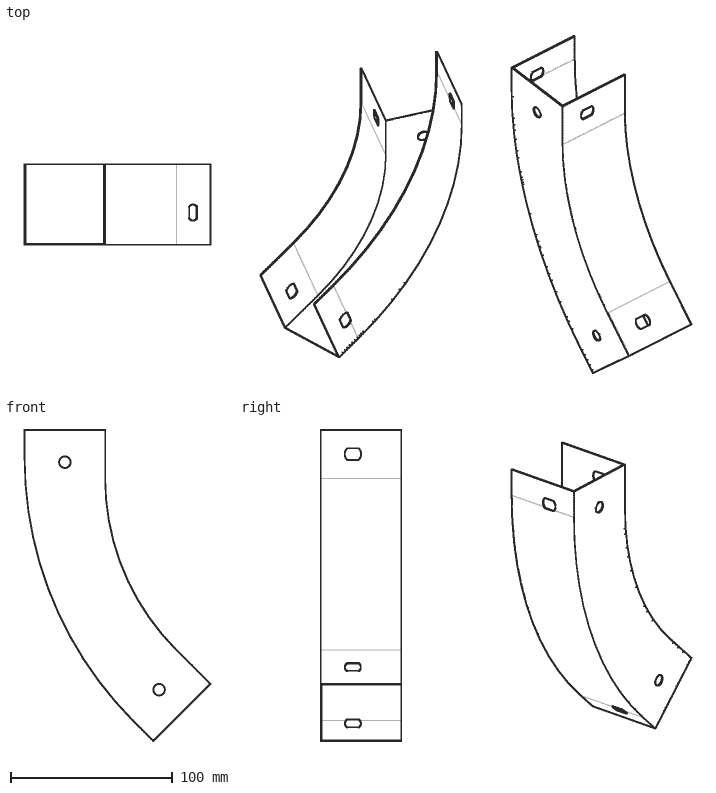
import cadquery as cq
import math

BEND_ANGLE = 45.0
CHANNEL_WIDTH = 50.0
CHANNEL_DEPTH = 50.0
SHEET = 0.8

INNER_RADIUS = 150.0
INNER_STRAIGHT = 30.0
OUTER_RADIUS = 230.0

WEB_HOLE_DIAMETER = 7.0
WEB_HOLE_FROM_END = 20.0

SLOT_WIDTH = 7.0
SLOT_LENGTH = 10.0
SLOT_FROM_END = 15.0
SLOT_CENTER_Y = -SLOT_LENGTH / 2

HALF_BEND_TANGENT = math.tan(math.radians(BEND_ANGLE / 2))
INNER_CORNER = INNER_STRAIGHT + INNER_RADIUS * HALF_BEND_TANGENT
OUTER_CORNER = INNER_CORNER + CHANNEL_WIDTH * HALF_BEND_TANGENT
OUTER_STRAIGHT = OUTER_CORNER - OUTER_RADIUS * HALF_BEND_TANGENT

SIN_BEND = math.sin(math.radians(BEND_ANGLE))
COS_BEND = math.cos(math.radians(BEND_ANGLE))
END_CORNER_X = OUTER_CORNER * SIN_BEND
END_CORNER_Z = -OUTER_CORNER * (1 + COS_BEND)


def at_top_end(across, from_end):
    """XZ point at a distance across the channel and a distance in from the top end."""
    return (across, -from_end)


def at_bottom_end(across, from_end):
    """XZ point at a distance across the channel and a distance in from the bottom end."""
    x = END_CORNER_X + across * COS_BEND - from_end * SIN_BEND
    z = END_CORNER_Z + across * SIN_BEND + from_end * COS_BEND
    return (x, z)


def arc_middle(across, straight, radius):
    """Middle of the bend arc that joins the two straight runs of a wall face."""
    half_bend = math.radians(BEND_ANGLE / 2)
    x = across + radius * (1 - math.cos(half_bend))
    z = -straight - radius * math.sin(half_bend)
    return (x, z)


def elbow_body(inset, y_start, y_end):
    """Solid elbow whose side faces lie inset from the outer faces of the channel walls."""
    outer_across = inset
    inner_across = CHANNEL_WIDTH - inset
    outer_radius = OUTER_RADIUS - inset
    inner_radius = INNER_RADIUS + inset
    outline = (
        cq.Workplane("XZ", origin=(0, y_start, 0))
        .moveTo(*at_top_end(outer_across, 0))
        .lineTo(*at_top_end(outer_across, OUTER_STRAIGHT))
        .threePointArc(
            arc_middle(outer_across, OUTER_STRAIGHT, outer_radius),
            at_bottom_end(outer_across, OUTER_STRAIGHT),
        )
        .lineTo(*at_bottom_end(outer_across, 0))
        .lineTo(*at_bottom_end(inner_across, 0))
        .lineTo(*at_bottom_end(inner_across, INNER_STRAIGHT))
        .threePointArc(
            arc_middle(inner_across, INNER_STRAIGHT, inner_radius),
            at_top_end(inner_across, INNER_STRAIGHT),
        )
        .lineTo(*at_top_end(inner_across, 0))
        .close()
    )
    return outline.extrude(y_start - y_end)


def channel():
    """Web on the -Y side with one wall along each curved edge."""
    half_depth = CHANNEL_DEPTH / 2
    block = elbow_body(0, -half_depth, half_depth)
    cavity = elbow_body(SHEET, -half_depth + SHEET, half_depth)
    return block.cut(cavity)


def web_hole(end_point):
    """Cutter for a round hole through the web near one end."""
    x, z = end_point(CHANNEL_WIDTH / 2, WEB_HOLE_FROM_END)
    return (
        cq.Workplane("XZ", origin=(x, 0, z))
        .circle(WEB_HOLE_DIAMETER / 2)
        .extrude(CHANNEL_DEPTH)
    )


def wall_slots(end_point):
    """Cutter for the facing slots through both walls near one end.

    Each slot is a circle of the slot length, flattened to the slot width.
    """
    x_near, z_near = end_point(0, SLOT_FROM_END)
    x_far, z_far = end_point(CHANNEL_WIDTH, SLOT_FROM_END)
    x_middle = (x_near + x_far) / 2
    z_middle = (z_near + z_far) / 2
    half_length = SLOT_LENGTH / 2
    half_width = SLOT_WIDTH / 2
    half_flat = math.sqrt(half_length**2 - half_width**2)
    across_channel = cq.Plane(
        origin=(x_middle, SLOT_CENTER_Y, z_middle),
        xDir=(0, 1, 0),
        normal=(x_far - x_near, 0, z_far - z_near),
    )
    return (
        cq.Workplane(across_channel)
        .moveTo(-half_flat, -half_width)
        .lineTo(half_flat, -half_width)
        .threePointArc((half_length, 0), (half_flat, half_width))
        .lineTo(-half_flat, half_width)
        .threePointArc((-half_length, 0), (-half_flat, -half_width))
        .close()
        .extrude(CHANNEL_WIDTH, both=True)
    )


result = channel()
for end_point in (at_top_end, at_bottom_end):
    result = result.cut(web_hole(end_point))
    result = result.cut(wall_slots(end_point))